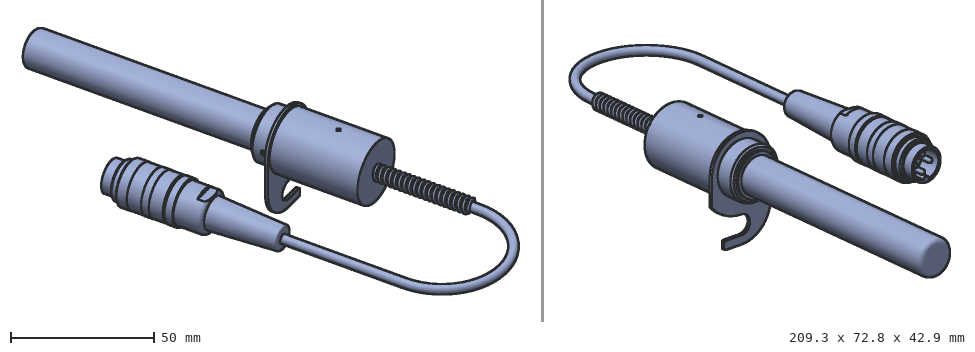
import cadquery as cq
import math


TUBE_DIAMETER = 15.0
TIP_ROUNDING = 2.0

LIP_START = 94.8
LIP_DIAMETER = 18.0
LIP_LENGTH = 1.0
COLLAR_DIAMETER = 22.0
COLLAR_CHAMFER = 0.8
BRACKET_START = 103.5
BRACKET_THICKNESS = 1.3
HANDLE_START = BRACKET_START + BRACKET_THICKNESS
HANDLE_END = 140.5
HANDLE_DIAMETER = 25.1

HANDLE_HOLE_DIAMETER = 1.5
COLLAR_HOLE_DIAMETER = 2.0
SMALL_HOLE_DEPTH = 1.0
HANDLE_HOLE_X = 125.2
COLLAR_HOLE_X = 101.1

BRACKET_RADIUS = 13.6
BRACKET_DROP = 29.3
BRACKET_LOWER_RADIUS = 17.8
HOOK_SLOT_RADIUS = 4.0
HOOK_TIP_Y = 8.0
HOOK_TIP_ROUNDING = 0.8

CABLE_DIAMETER = 3.8
LOOP_DIAMETER = 50.0
LOOP_RADIUS = LOOP_DIAMETER / 2
OVERALL_LENGTH = 209.3
LOOP_CENTER_X = OVERALL_LENGTH - LOOP_RADIUS - CABLE_DIAMETER / 2

SPRING_WIRE_DIAMETER = 1.3
SPRING_COIL_DIAMETER = 5.2
SPRING_PITCH = 2.0
SPRING_END = 179.6
SPRING_TURNS = 20
SPRING_LENGTH = SPRING_TURNS * SPRING_PITCH

PLUG_Y = -LOOP_DIAMETER
PLUG_Z = 0.2
SHELL_START = 62.5
SHELL_DIAMETER = 13.5
SHELL_BORE_DIAMETER = 11.3
SHELL_DEPTH = 8.4
NOSE_START = 67.0
NOSE_DIAMETER = 16.0
NOSE_CHAMFER = 0.6
GRIP_START = 70.0
GRIP_DIAMETER = 18.5
GRIP_CHAMFER = 0.5
GRIP_BAND_DIAMETER = 18.2
GRIP_BANDS = [(74.5, 80.4), (83.5, 89.2)]
GRIP_GROOVE_DIAMETER = 18.0
GRIP_GROOVE = (89.2, 89.8)
SLEEVE_START = 93.2
SLEEVE_DIAMETER = 17.0
SLEEVE_END = 104.5
SLEEVE_ROUNDING = 1.7
FLAT_START = 100.5
FLAT_HEIGHT = 7.3
BOOT_DIAMETER = 13.0
BOOT_END_DIAMETER = 9.8
BOOT_END = 132.7
BOOT_ROUNDING = 0.6

PIN_DIAMETER = 2.0
PIN_CIRCLE_DIAMETER = 7.0
PIN_COUNT = 4
PIN_LENGTH = 7.1
PIN_ROUNDING = 0.8
KEY_DIAMETER = 2.3
KEY_Z = -5.5


def rod(start, end, diameter, y=0.0, z=0.0):
    """Cylinder along X between two stations."""
    return cq.Workplane("YZ", origin=(start, y, z)).circle(diameter / 2).extrude(end - start)


def small_hole(x, diameter, direction, surface_radius):
    """Cutter for a small blind hole that enters a round surface along `direction`."""
    base = cq.Vector(x, 0, 0) + direction * (surface_radius - SMALL_HOLE_DEPTH)
    return cq.Workplane(cq.Solid.makeCylinder(diameter / 2, 2 * SMALL_HOLE_DEPTH, base, direction))


def make_tube_and_handle():
    tube = rod(0, LIP_START, TUBE_DIAMETER).faces("<X").edges().fillet(TIP_ROUNDING)
    lip = rod(LIP_START, LIP_START + LIP_LENGTH, LIP_DIAMETER)
    collar = rod(LIP_START + LIP_LENGTH, HANDLE_START, COLLAR_DIAMETER)
    collar = collar.faces("<X").edges().chamfer(COLLAR_CHAMFER)
    collar = collar.cut(
        small_hole(COLLAR_HOLE_X, COLLAR_HOLE_DIAMETER, cq.Vector(0, -1, 0), COLLAR_DIAMETER / 2))
    handle = rod(HANDLE_START, HANDLE_END, HANDLE_DIAMETER)
    handle = handle.cut(
        small_hole(HANDLE_HOLE_X, HANDLE_HOLE_DIAMETER, cq.Vector(0, 0, 1), HANDLE_DIAMETER / 2))
    return tube.union(lip).union(collar).union(handle)


def make_cable():
    path = (
        cq.Workplane("XY")
        .moveTo(HANDLE_END, 0)
        .lineTo(LOOP_CENTER_X, 0)
        .threePointArc((LOOP_CENTER_X + LOOP_RADIUS, -LOOP_RADIUS), (LOOP_CENTER_X, PLUG_Y))
        .lineTo(BOOT_END, PLUG_Y)
    )
    return cq.Workplane("YZ", origin=(HANDLE_END, 0, 0)).circle(CABLE_DIAMETER / 2).sweep(path)


def make_spring():
    coil_radius = SPRING_COIL_DIAMETER / 2
    helix = cq.Wire.makeHelix(SPRING_PITCH, SPRING_LENGTH, coil_radius)
    wire = (
        cq.Workplane("XZ", origin=(coil_radius, 0, 0))
        .circle(SPRING_WIRE_DIAMETER / 2)
        .sweep(cq.Workplane(helix), isFrenet=True)
    )
    spring = wire.rotate((0, 0, 0), (0, 0, 1), 180).rotate((0, 0, 0), (1, 1, 1), 120)
    spring = spring.translate((SPRING_END - SPRING_LENGTH, 0, 0))
    return spring.cut(rod(HANDLE_START, HANDLE_END, HANDLE_DIAMETER))


def ring(start, end, outer_diameter, inner_diameter):
    """Cutter that turns a round section down to `inner_diameter`."""
    return rod(start, end, outer_diameter).cut(rod(start, end, inner_diameter))


def make_grip():
    cutter_diameter = GRIP_DIAMETER + 2
    grip = rod(GRIP_START, SLEEVE_START, GRIP_DIAMETER).faces("<X").edges().chamfer(GRIP_CHAMFER)
    for start, end in GRIP_BANDS:
        grip = grip.cut(ring(start, end, cutter_diameter, GRIP_BAND_DIAMETER))
    return grip.cut(ring(*GRIP_GROOVE, cutter_diameter, GRIP_GROOVE_DIAMETER))


def make_sleeve():
    """Round sleeve behind the grip, with flats above and below its rear end."""
    sleeve = rod(SLEEVE_START, SLEEVE_END, SLEEVE_DIAMETER).faces(">X").edges().fillet(SLEEVE_ROUNDING)
    cutter = cq.Workplane("XY").box(
        SLEEVE_END - FLAT_START, SLEEVE_DIAMETER, SLEEVE_DIAMETER, centered=(False, True, True))
    for side in (-1, 1):
        cutter_z = side * (FLAT_HEIGHT + SLEEVE_DIAMETER / 2)
        sleeve = sleeve.cut(cutter.translate((FLAT_START, 0, cutter_z)))
    return sleeve


def make_boot():
    return (
        cq.Workplane("YZ", origin=(SLEEVE_END, 0, 0))
        .circle(BOOT_DIAMETER / 2)
        .workplane(offset=BOOT_END - SLEEVE_END)
        .circle(BOOT_END_DIAMETER / 2)
        .loft()
        .faces(">X").edges().fillet(BOOT_ROUNDING)
    )


def make_plug():
    floor = SHELL_START + SHELL_DEPTH
    shell = rod(SHELL_START, NOSE_START, SHELL_DIAMETER)
    nose = rod(NOSE_START, GRIP_START, NOSE_DIAMETER).faces("<X").edges().chamfer(NOSE_CHAMFER)
    plug = shell.union(nose).union(make_grip()).union(make_sleeve()).union(make_boot())
    plug = plug.cut(rod(SHELL_START, floor, SHELL_BORE_DIAMETER))
    for i in range(PIN_COUNT):
        angle = 2 * math.pi * i / PIN_COUNT
        y = PIN_CIRCLE_DIAMETER / 2 * math.cos(angle)
        z = PIN_CIRCLE_DIAMETER / 2 * math.sin(angle)
        pin = rod(floor - PIN_LENGTH, floor, PIN_DIAMETER, y, z)
        plug = plug.union(pin.faces("<X").edges().fillet(PIN_ROUNDING))
    plug = plug.union(rod(SHELL_START, floor, KEY_DIAMETER, 0, KEY_Z))
    return plug.translate((0, PLUG_Y, PLUG_Z))


def make_bracket_plate():
    """Hook plate between the collar and the handle, around the probe axis."""
    slot_top = -BRACKET_LOWER_RADIUS
    slot_middle = slot_top - HOOK_SLOT_RADIUS
    slot_bottom = slot_top - 2 * HOOK_SLOT_RADIUS
    bend_z = BRACKET_RADIUS - BRACKET_DROP
    bend_offset = BRACKET_RADIUS * math.sqrt(0.5)
    corner_z = -math.sqrt(BRACKET_LOWER_RADIUS ** 2 - BRACKET_RADIUS ** 2)
    arc_y = BRACKET_RADIUS / 2
    arc_z = -math.sqrt(BRACKET_LOWER_RADIUS ** 2 - arc_y ** 2)
    plate = (
        cq.Workplane("YZ", origin=(BRACKET_START, 0, 0))
        .moveTo(BRACKET_RADIUS, 0)
        .threePointArc((0, BRACKET_RADIUS), (-BRACKET_RADIUS, 0))
        .lineTo(-BRACKET_RADIUS, bend_z)
        .threePointArc((-bend_offset, bend_z - bend_offset), (0, -BRACKET_DROP))
        .lineTo(HOOK_TIP_Y, -BRACKET_DROP)
        .lineTo(HOOK_TIP_Y, slot_bottom)
        .lineTo(0, slot_bottom)
        .threePointArc((-HOOK_SLOT_RADIUS, slot_middle), (0, slot_top))
        .threePointArc((arc_y, arc_z), (BRACKET_RADIUS, corner_z))
        .close()
        .extrude(BRACKET_THICKNESS)
    )
    margin = 0.2
    hook_tip = cq.selectors.BoxSelector(
        (BRACKET_START - margin, HOOK_TIP_Y - margin, -BRACKET_DROP - margin),
        (HANDLE_START + margin, HOOK_TIP_Y + margin, slot_bottom + margin),
    )
    plate = plate.edges("|X").edges(hook_tip).fillet(HOOK_TIP_ROUNDING)
    return plate.cut(rod(BRACKET_START, HANDLE_START, COLLAR_DIAMETER))


def make_probe():
    """Tube, handle, cable and plug as one body, with the bracket plate fixed to the collar."""
    probe = make_tube_and_handle().union(make_cable()).union(make_plug())
    return probe.union(make_bracket_plate())


probe = make_probe()
spring = make_spring()

result = cq.Compound.makeCompound([probe.val(), spring.val()])